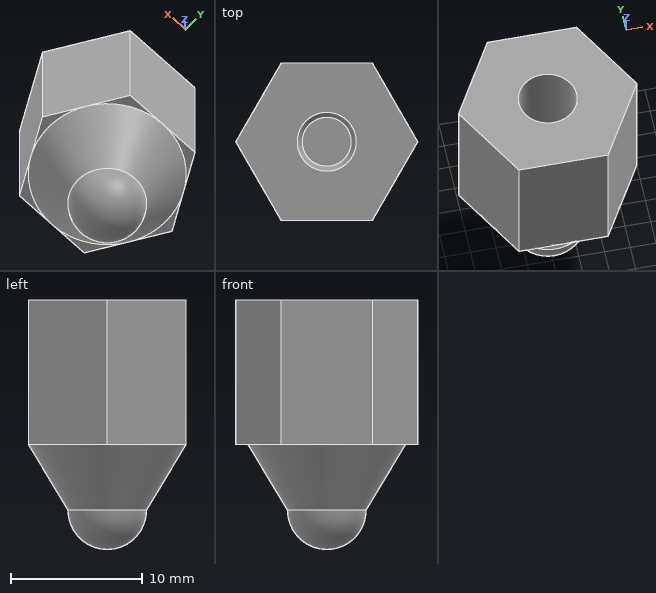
import cadquery as cq
import math

total_height = 19.0
across_flats = 12.0
tip_radius = 3.0
cone_height = 5.0
bore_radius = 2.25
bore_depth = 8.0
bore_bevel_width = 0.38
bore_bevel_slope = 60

across_corners = across_flats / math.cos(math.radians(30))
hex_bottom = tip_radius + cone_height
hex_height = total_height - hex_bottom
cone_top_radius = across_flats / 2
bore_bevel_height = bore_bevel_width * math.tan(math.radians(bore_bevel_slope))


def hex_body():
    """Hexagonal prism with two corners on the X axis."""
    base = cq.Workplane("XY").workplane(offset=hex_bottom)
    return base.polygon(6, across_corners).extrude(hex_height)


def rounded_nose():
    """Cone below the hexagon, ending in a hemispherical tip."""
    arc_reach = tip_radius * math.sin(math.radians(45))
    profile = (
        cq.Workplane("XZ")
        .moveTo(0, 0)
        .threePointArc((arc_reach, tip_radius - arc_reach), (tip_radius, tip_radius))
        .lineTo(cone_top_radius, hex_bottom)
        .lineTo(0, hex_bottom)
        .close()
    )
    return profile.revolve(360, (0, 0, 0), (0, 1, 0))


def blind_bore():
    """Straight blind hole in the top face, with a steep bevel around its flat floor."""
    floor = cq.Workplane("XY").workplane(offset=total_height - bore_depth)
    bore = floor.circle(bore_radius).extrude(bore_depth)
    return bore.faces("<Z").chamfer(bore_bevel_height, bore_bevel_width)


result = hex_body().union(rounded_nose()).cut(blind_bore())